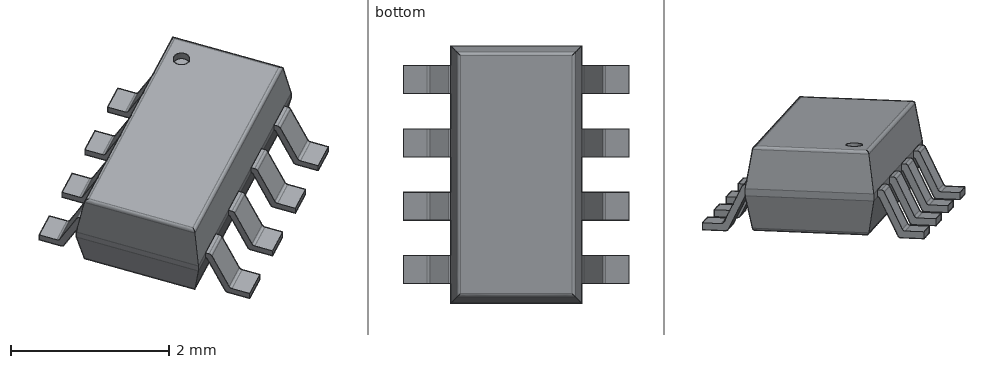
import cadquery as cq
import math

BODY_LENGTH = 3.25
BODY_WIDTH = 1.655
BODY_TOP = 1.14
STANDOFF = 0.05
TAPER_INSET = 0.085
EDGE_RADIUS = 0.045

MARK_DIAMETER = 0.205
MARK_DEPTH = 0.1
MARK_FROM_SIDE = 0.33
MARK_FROM_END = 0.422

LEAD_SPAN = 2.85
LEAD_THICKNESS = 0.09
LEAD_WIDTH = 0.358
LEAD_PITCH = 0.8
LEADS_PER_SIDE = 4
LEAD_TOP = 0.608
FOOT_LENGTH = 0.265
LEG_ANGLE = 63.6
BEND_RADIUS = 0.042
UNDER_KNEE_RADIUS = 0.025

BAND_TOP = LEAD_TOP
BAND_BOTTOM = LEAD_TOP - LEAD_THICKNESS


def sloped_half(z_start, height):
    """Half of the body, narrowing from the band out to its top or bottom face."""
    return (
        cq.Workplane("XY", origin=(0, 0, z_start))
        .rect(BODY_WIDTH, BODY_LENGTH)
        .workplane(offset=height)
        .rect(BODY_WIDTH - 2 * TAPER_INSET, BODY_LENGTH - 2 * TAPER_INSET)
        .loft(ruled=True)
    )


def make_body():
    """Moulded body with a straight band, sloped walls, rounded rims and a pin-1 mark."""
    band = (
        cq.Workplane("XY", origin=(0, 0, BAND_BOTTOM))
        .rect(BODY_WIDTH, BODY_LENGTH)
        .extrude(LEAD_THICKNESS)
    )
    upper = sloped_half(BAND_TOP, BODY_TOP - BAND_TOP)
    lower = sloped_half(BAND_BOTTOM, STANDOFF - BAND_BOTTOM)
    body = band.union(upper).union(lower)
    body = body.faces("<Z or >Z").edges().fillet(EDGE_RADIUS)

    mark_x = MARK_FROM_SIDE - BODY_WIDTH / 2
    mark_y = BODY_LENGTH / 2 - MARK_FROM_END
    mark = (
        cq.Workplane("XY", origin=(mark_x, mark_y, BODY_TOP - MARK_DEPTH))
        .circle(MARK_DIAMETER / 2)
        .extrude(MARK_DEPTH)
    )
    return body.cut(mark)


def make_lead(y_centre):
    """Gull-wing lead on the -X side, running from its toe to the body wall."""
    toe_x = -LEAD_SPAN / 2
    wall_x = -BODY_WIDTH / 2
    angle = math.radians(LEG_ANGLE)
    ankle_x = toe_x + FOOT_LENGTH
    knee_x = ankle_x + (LEAD_TOP - LEAD_THICKNESS) / math.tan(angle)
    corner_shift = LEAD_THICKNESS * math.tan(angle / 2)

    ankle = (ankle_x, LEAD_THICKNESS)
    knee = (knee_x, LEAD_TOP)
    under_knee = (knee_x + corner_shift, BAND_BOTTOM)
    heel = (ankle_x + corner_shift, 0)

    toe_and_foot = [(toe_x, 0), (toe_x, LEAD_THICKNESS), ankle]
    wall_end = [(wall_x, LEAD_TOP), (wall_x, BAND_BOTTOM)]
    lead = (
        cq.Workplane("XZ", origin=(0, y_centre, 0))
        .polyline([*toe_and_foot, knee, *wall_end, under_knee, heel])
        .close()
        .extrude(LEAD_WIDTH / 2, both=True)
    )
    for (x, z), radius in (
        (ankle, BEND_RADIUS),
        (knee, BEND_RADIUS),
        (heel, BEND_RADIUS),
        (under_knee, UNDER_KNEE_RADIUS),
    ):
        corner = cq.selectors.NearestToPointSelector((x, y_centre, z))
        lead = lead.edges("|Y").edges(corner).fillet(radius)
    return lead


def make_leads():
    """Rows of leads along both long sides, each row centred on the body."""
    leads = []
    for index in range(LEADS_PER_SIDE):
        y_centre = (index - (LEADS_PER_SIDE - 1) / 2) * LEAD_PITCH
        lead = make_lead(y_centre)
        leads.append(lead.val())
        leads.append(lead.mirror("YZ").val())
    return leads


body = make_body()
result = cq.Compound.makeCompound([body.val(), *make_leads()])